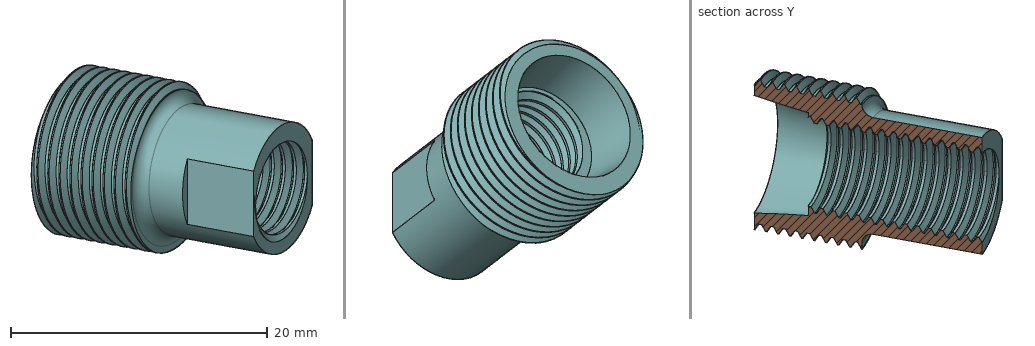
import cadquery as cq
import math

total_length = 19.0
thread_length = 9.0
shaft_radius = 5.25
neck_fillet = 0.95

pitch = total_length / 19
sharp_height = pitch * math.sqrt(3) / 2
thread_depth = sharp_height * 5 / 8
tip_width = pitch / 8
base_width = pitch * 3 / 4
thread_overlap = 0.08

outer_crest_diameter = 13.5
outer_crest_radius = outer_crest_diameter / 2
outer_root_radius = outer_crest_radius - thread_depth

socket_mouth_radius = 5.25
socket_floor_radius = 4.58
socket_depth = 4.5
hole_radius = 3.75
hole_overrun = 3 * pitch
lead_in_turns = 1.375

flat_start = 13.0
across_flats = 9.0


def x_cylinder(radius, start, end):
    return cq.Workplane("YZ", origin=(start, 0, 0)).circle(radius).extrude(end - start)


def helical_thread(base_radius, start, end):
    """Right-hand ridge around X whose centre line leaves the -Z side at X = start."""
    slope = (base_width - tip_width) / 2 / thread_depth
    inner_half = base_width / 2 + thread_overlap * slope
    inner_radius = base_radius - thread_overlap
    tip_radius = base_radius + thread_depth
    path = cq.Wire.makeHelix(pitch, end - start, base_radius)
    ridge = (
        cq.Workplane("XZ")
        .polyline([
            (inner_radius, -inner_half),
            (tip_radius, -tip_width / 2),
            (tip_radius, tip_width / 2),
            (inner_radius, inner_half),
        ])
        .close()
        .sweep(cq.Workplane(path), isFrenet=True)
    )
    return ridge.rotate((0, 0, 0), (0, 1, 0), 90).translate((start, 0, 0))


def make_body():
    """Thread core and shaft joined by a concave neck fillet."""
    neck_end = thread_length + neck_fillet
    arc_offset = neck_fillet * (1 - math.sqrt(0.5))
    return (
        cq.Workplane("XY")
        .lineTo(0, outer_root_radius)
        .lineTo(thread_length, outer_root_radius)
        .lineTo(thread_length, shaft_radius + neck_fillet)
        .threePointArc(
            (thread_length + arc_offset, shaft_radius + arc_offset),
            (neck_end, shaft_radius),
        )
        .lineTo(total_length, shaft_radius)
        .lineTo(total_length, 0)
        .close()
        .revolve(360, (0, 0, 0), (1, 0, 0))
    )


def make_outer_thread():
    """Ridge running off both ends, trimmed square to the threaded length."""
    ridge = helical_thread(outer_root_radius, -pitch, thread_length + 2 * pitch)
    return ridge.intersect(x_cylinder(outer_crest_diameter, 0, thread_length))


def make_flat_cutter(side):
    flat_length = total_length - flat_start
    return cq.Workplane("XY").box(
        flat_length, shaft_radius, 2 * shaft_radius, centered=(False, True, True)
    ).translate((flat_start, side * (across_flats + shaft_radius) / 2, 0))


def make_socket():
    return (
        cq.Workplane("YZ")
        .circle(socket_mouth_radius)
        .workplane(offset=socket_depth)
        .circle(socket_floor_radius)
        .loft()
    )


def make_inner_thread():
    """Groove that starts inside the open socket and runs out past the shaft end."""
    groove_start = socket_depth - lead_in_turns * pitch
    return helical_thread(hole_radius, groove_start, total_length + pitch)


result = (
    make_body()
    .cut(make_socket())
    .cut(make_inner_thread())
    .cut(x_cylinder(hole_radius, 0, total_length + hole_overrun))
)
for side in (-1, 1):
    result = result.cut(make_flat_cutter(side))
result = result.union(make_outer_thread())